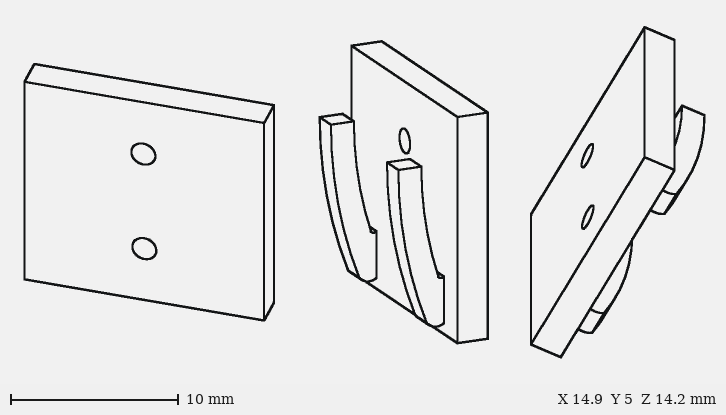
import cadquery as cq
import math

plate_width = 14.95
plate_thickness = 2.0
plate_height = 14.2

hole_diameter = 1.5
hole_centres = [(-0.06, 10.48), (0.0, 3.7)]

total_depth = 5.0
hook_width = 1.6
hook_centres_x = [-4.75, 4.74]
hook_tip_thickness = 1.51
hook_tip_z = 10.72
outer_radius = 27.06
inner_radius = 22.72
outer_end_z = 0.84
foot_low_point = (2.42, 0.54)
foot_root_z = 0.67
notch_end_z = 3.62
notch_depth = 0.07


def curve_y(tip_y, radius, z):
    """Y at height z on an arc that is vertical at the hook tip."""
    return tip_y - radius + math.sqrt(radius**2 - (hook_tip_z - z) ** 2)


def make_plate():
    plate = cq.Workplane("XY").box(
        plate_width, plate_thickness, plate_height, centered=(True, False, False)
    )
    holes = (
        cq.Workplane("XZ")
        .pushPoints(hole_centres)
        .circle(hole_diameter / 2)
        .extrude(-plate_thickness)
    )
    return plate.cut(holes)


def make_hook(centre_x):
    inner_tip_y = total_depth - hook_tip_thickness
    outer_mid_z = (hook_tip_z + outer_end_z) / 2
    inner_mid_z = (hook_tip_z + notch_end_z) / 2
    outer_mid = (curve_y(total_depth, outer_radius, outer_mid_z), outer_mid_z)
    outer_end = (curve_y(total_depth, outer_radius, outer_end_z), outer_end_z)
    inner_mid = (curve_y(inner_tip_y, inner_radius, inner_mid_z), inner_mid_z)
    inner_end = (curve_y(inner_tip_y, inner_radius, notch_end_z), notch_end_z)
    notch_low_point = ((plate_thickness + inner_end[0]) / 2, notch_end_z - notch_depth)
    return (
        cq.Workplane("YZ", origin=(centre_x, 0, 0))
        .moveTo(inner_tip_y, hook_tip_z)
        .lineTo(total_depth, hook_tip_z)
        .threePointArc(outer_mid, outer_end)
        .threePointArc(foot_low_point, (plate_thickness, foot_root_z))
        .lineTo(plate_thickness, notch_end_z)
        .threePointArc(notch_low_point, inner_end)
        .threePointArc(inner_mid, (inner_tip_y, hook_tip_z))
        .close()
        .extrude(hook_width / 2, both=True)
    )


result = make_plate()
for hook_centre_x in hook_centres_x:
    result = result.union(make_hook(hook_centre_x))